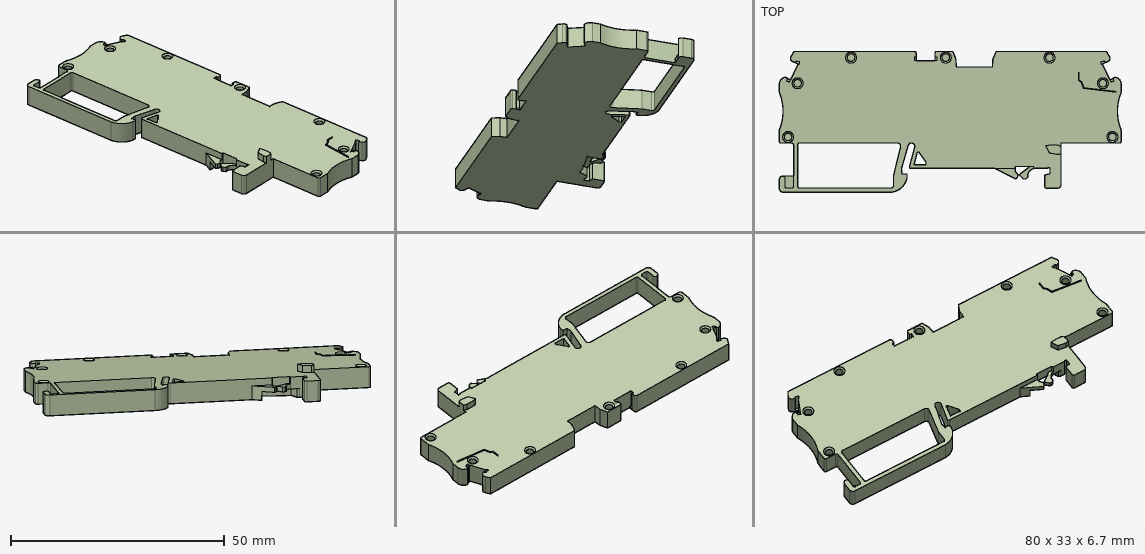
import cadquery as cq

LENGTH = 80.0
DEPTH = 33.0
HEIGHT = 6.7
PLATE_THICKNESS = 5.0
HALF = LENGTH / 2

BODY_BASE = 11.5
RAIL_FACE = 5.6
SPRING_HOOK_TOP = 4.3
WINDOW_TOP = 6.0
FOOT_BOTTOM = 1.0
HOOK_TOP = 3.8
SLOT_NOTCH_FLOOR = 30.8
DEEP_NOTCH_FLOOR = 29.4

HOOK_INNER = -38.6
BRACKET_WALL = 1.0
BRACKET_LEFT = -36.6
SLOT_NOTCH_LEFT = -7.9
SLOT_NOTCH_RIGHT = -3.6
WINDOW_LEFT = 15.2
FOOT_LEFT = 22.1
FOOT_RIGHT = 25.9

RELIEF_FLOOR = 0.4
WEB_THICKNESS = 1.0
LATCH_BOTTOM = 2.2
LATCH_TOP = 3.4

SOCKET_MOUTH_RADIUS = 1.3
SOCKET_RADIUS = 0.9
SOCKET_CHAMFER_DEPTH = 0.4
SOCKET_DEPTH = 2.4
SOCKET_CENTERS = [
    (-37.9, 13.0), (37.9, 13.0),
    (-35.7, 25.5), (35.7, 25.5),
    (-23.2, 31.5), (23.2, 31.5),
    (-1.0, 31.5),
]

GROOVE_WIDTH = 0.2
GROOVE_DEPTH = 0.2
GROOVE_PATH = [(30.1, 28.0), (30.1, 26.2), (30.7, 25.8), (31.2, 24.4), (38.7, 23.5)]


def prism(points, bottom, top):
    """Closed polygon in XY raised between two Z levels."""
    return cq.Workplane("XY").workplane(offset=bottom).polyline(points).close().extrude(top - bottom)


def mirrored(points):
    """Same points reflected about the YZ plane."""
    return [(-x, y) for x, y in points]


def corner_fillet(solid, x, y, radius):
    """Round the vertical edge that passes through (x, y)."""
    tolerance = 0.04
    box = cq.selectors.BoxSelector(
        (x - tolerance, y - tolerance, -0.8), (x + tolerance, y + tolerance, HEIGHT + 0.8)
    )
    return solid.edges("|Z").edges(box).fillet(radius)


def end_outline(sketch, side):
    """Draw one end, from the top edge down to the overhang's corner (side -1) or back up (side 1)."""
    brow, lip_top, lip_mid, lip_bottom = (36.6, DEPTH), (37.2, 31.8), (37.4, 31.2), (37.0, 30.6)
    notch_inner, notch_outer, shoulder_start = (35.6, 30.0), (37.4, 26.3), (38.6, 27.0)
    shoulder_mid, shoulder_end = (39.5, 26.5), (HALF, 25.4)
    grip_top, grip_mid, grip_bottom = (HALF, 23.4), (39.1, 19.0), (HALF, 14.6)
    corner = (HALF, BODY_BASE)

    def at(point):
        return (side * point[0], point[1])

    steps = [
        (brow, lip_top, None), (lip_top, lip_bottom, lip_mid), (lip_bottom, notch_inner, None),
        (notch_inner, notch_outer, None), (notch_outer, shoulder_start, None),
        (shoulder_start, shoulder_end, shoulder_mid), (shoulder_end, grip_top, None),
        (grip_top, grip_bottom, grip_mid), (grip_bottom, corner, None),
    ]
    if side > 0:
        steps = [(end, start, via) for start, end, via in reversed(steps)]
    sketch = sketch.lineTo(*at(steps[0][0]))
    for _, end, via in steps:
        if via:
            sketch = sketch.threePointArc(at(via), at(end))
        else:
            sketch = sketch.lineTo(*at(end))
    return sketch


def plate():
    """Main body with its bracket and rail foot, seen as one outline."""
    sketch = cq.Workplane("XY").moveTo(SLOT_NOTCH_LEFT, DEPTH)
    sketch = end_outline(sketch, -1)
    sketch = sketch.lineTo(BRACKET_LEFT, BODY_BASE).lineTo(BRACKET_LEFT, BRACKET_WALL)
    sketch = sketch.lineTo(HOOK_INNER, BRACKET_WALL).lineTo(HOOK_INNER, 3.2)
    sketch = sketch.threePointArc((-38.8, 3.7), (-39.2, HOOK_TOP)).threePointArc((-39.8, 3.6), (-HALF, 3.0))
    sketch = sketch.lineTo(-HALF, 0).lineTo(-13.9, 0)
    sketch = sketch.threePointArc((-11.1, 1.4), (-10.1, 3.4)).lineTo(-10.1, SPRING_HOOK_TOP)
    sketch = sketch.lineTo(-11.3, SPRING_HOOK_TOP).lineTo(-11.4, RAIL_FACE).lineTo(-9.8, 10.9)
    sketch = sketch.threePointArc((-9.1, BODY_BASE), (-8.3, 10.6))
    sketch = sketch.lineTo(-9.7, RAIL_FACE).lineTo(WINDOW_LEFT, RAIL_FACE).lineTo(WINDOW_LEFT, WINDOW_TOP)
    sketch = sketch.lineTo(19.4, WINDOW_TOP).lineTo(19.6, RAIL_FACE).lineTo(22.7, RAIL_FACE)
    sketch = sketch.lineTo(22.8, 5.8).lineTo(23.3, 5.8).lineTo(23.3, 4.4).lineTo(FOOT_LEFT, 4.1)
    sketch = sketch.lineTo(FOOT_LEFT, FOOT_BOTTOM).lineTo(FOOT_RIGHT, FOOT_BOTTOM)
    sketch = sketch.lineTo(FOOT_RIGHT, BODY_BASE)
    sketch = end_outline(sketch, 1)
    sketch = sketch.lineTo(10.7, DEPTH).lineTo(9.9, 31.1).lineTo(9.8, DEEP_NOTCH_FLOOR)
    sketch = sketch.lineTo(1.4, DEEP_NOTCH_FLOOR).lineTo(1.4, 31.1).lineTo(0.6, DEPTH)
    sketch = sketch.lineTo(SLOT_NOTCH_RIGHT, DEPTH).lineTo(SLOT_NOTCH_RIGHT, SLOT_NOTCH_FLOOR)
    body = sketch.lineTo(SLOT_NOTCH_LEFT, SLOT_NOTCH_FLOOR).close().extrude(PLATE_THICKNESS)

    rounded = [
        (SLOT_NOTCH_LEFT, DEPTH, 0.5), (SLOT_NOTCH_RIGHT, DEPTH, 0.3),
        (-HALF, BODY_BASE, 0.5), (HALF, BODY_BASE, 0.5),
        (BRACKET_LEFT, BODY_BASE, 0.5), (BRACKET_LEFT, BRACKET_WALL, 0.4), (HOOK_INNER, BRACKET_WALL, 0.2),
        (-HALF, 0, 1.0), (-9.7, RAIL_FACE, 0.3),
        (FOOT_LEFT, FOOT_BOTTOM, 0.4), (FOOT_RIGHT, FOOT_BOTTOM, 0.8),
    ]
    for x, y, radius in rounded:
        body = corner_fillet(body, x, y, radius)
    return body


def bracket_window():
    """Opening framed by the bracket."""
    left = BRACKET_LEFT + BRACKET_WALL
    top_right, bottom_right = (-11.4, BODY_BASE), (-13.3, BRACKET_WALL)
    outline = [(left, BRACKET_WALL), bottom_right, (-13.3, 4.0), top_right, (left, BODY_BASE)]
    window = prism(outline, 0, PLATE_THICKNESS)
    window = corner_fillet(window, *top_right, 0.7)
    window = corner_fillet(window, *bottom_right, 0.6)
    for y in (BRACKET_WALL, BODY_BASE):
        window = corner_fillet(window, left, y, 0.3)
    return window


def notch_undercut(wall, side):
    """Rectangle cut sideways from a slot notch wall, just above the notch floor."""
    width, height = 0.5, 0.9
    outer, top = wall + side * width, SLOT_NOTCH_FLOOR + height
    return [(wall, SLOT_NOTCH_FLOOR), (outer, SLOT_NOTCH_FLOOR), (outer, top), (wall, top)]


def corner_reliefs():
    """Small undercuts in the notch corners, each closed by a thin floor."""
    lip_corner = [(36.2, 30.2), (36.1, 30.7), (35.2, 30.6), (35.3, 30.1), (35.6, 29.9)]
    shoulder_corner = [(38.2, 26.7), (38.2, 26.1), (37.6, 25.8), (37.4, 26.3)]
    notch_left = notch_undercut(SLOT_NOTCH_LEFT, -1)
    notch_right = notch_undercut(SLOT_NOTCH_RIGHT, 1)
    outlines = [lip_corner, mirrored(lip_corner), shoulder_corner, mirrored(shoulder_corner)]
    outlines += [notch_left, notch_right]
    cutter = cq.Workplane("XY")
    for outline in outlines:
        cutter = cutter.add(prism(outline, RELIEF_FLOOR, PLATE_THICKNESS))
    return cutter.combine()


def socket(x, y):
    """One blind bore in the top face with a chamfered mouth."""
    bore = cq.Workplane("XY", origin=(x, y, PLATE_THICKNESS - SOCKET_DEPTH)).circle(SOCKET_RADIUS)
    bore = bore.extrude(SOCKET_DEPTH)
    mouth = (
        cq.Workplane("XY", origin=(x, y, PLATE_THICKNESS)).circle(SOCKET_MOUTH_RADIUS)
        .workplane(offset=-SOCKET_CHAMFER_DEPTH).circle(SOCKET_RADIUS).loft()
    )
    return bore.union(mouth)


def hairline_groove():
    """Narrow bent groove in the top face."""
    path = cq.Workplane("XY").workplane(offset=PLATE_THICKNESS - GROOVE_DEPTH).polyline(GROOVE_PATH)
    return path.offset2D(GROOVE_WIDTH / 2).extrude(GROOVE_DEPTH)


def hook_web():
    """Thin web that closes the bottom of the end hook and runs into the walls around it."""
    overlap = 0.2
    left, right, bottom = HOOK_INNER - overlap, BRACKET_LEFT + overlap, BRACKET_WALL - overlap
    outline = [(left, bottom), (right, bottom), (right, HOOK_TOP), (left, HOOK_TOP)]
    return prism(outline, 0, WEB_THICKNESS)


def latch_recess():
    """Pocket under the latch, open to the bottom face."""
    outline = [
        (12.5, 2.4), (12.5, 8.6), (18.4, 7.8), (20.2, 7.8),
        (21.1, 5.8), (21.7, RAIL_FACE), (21.7, 2.4),
    ]
    return prism(outline, 0, LATCH_BOTTOM)


def latch_arm():
    """Wedge on the rail edge; only its root reaches the bottom face."""
    outline = [
        (10.4, RAIL_FACE), (15.3, 3.1), (15.7, 3.4), (15.9, 4.1),
        (WINDOW_LEFT, 5.0), (WINDOW_LEFT, WINDOW_TOP), (10.4, WINDOW_TOP),
    ]
    return prism(outline, 0, LATCH_TOP)


def latch_catch():
    """Dart-shaped catch beside the wedge, hanging from a curved neck."""
    return (
        cq.Workplane("XY").workplane(offset=LATCH_BOTTOM)
        .moveTo(18.3, 6.2).lineTo(18.3, 5.8).lineTo(16.1, 4.2).lineTo(17.1, 3.1).lineTo(17.7, 3.1)
        .lineTo(18.2, 3.5).lineTo(18.2, 4.2).threePointArc((18.6, 5.0), (19.6, RAIL_FACE)).lineTo(19.6, 6.2)
        .close().extrude(LATCH_TOP - LATCH_BOTTOM)
    )


def peg():
    """Locating peg that stands on the top face."""
    outline = [
        (22.3, 10.9), (23.2, 9.2), (25.2, 8.9), (FOOT_RIGHT, 9.0),
        (FOOT_RIGHT, 10.7), (25.2, 11.0), (23.0, 11.0),
    ]
    return prism(outline, PLATE_THICKNESS, HEIGHT)


TRIANGLE = [(-8.4, 6.5), (-5.7, 6.5), (-5.7, 7.0), (-7.4, 9.4), (-7.7, 9.4)]

result = plate().cut(bracket_window()).cut(prism(TRIANGLE, 0, PLATE_THICKNESS))
result = result.union(hook_web()).union(latch_arm()).cut(latch_recess())
result = result.union(latch_catch()).union(peg())
result = result.cut(corner_reliefs()).cut(hairline_groove())
for center in SOCKET_CENTERS:
    result = result.cut(socket(*center))